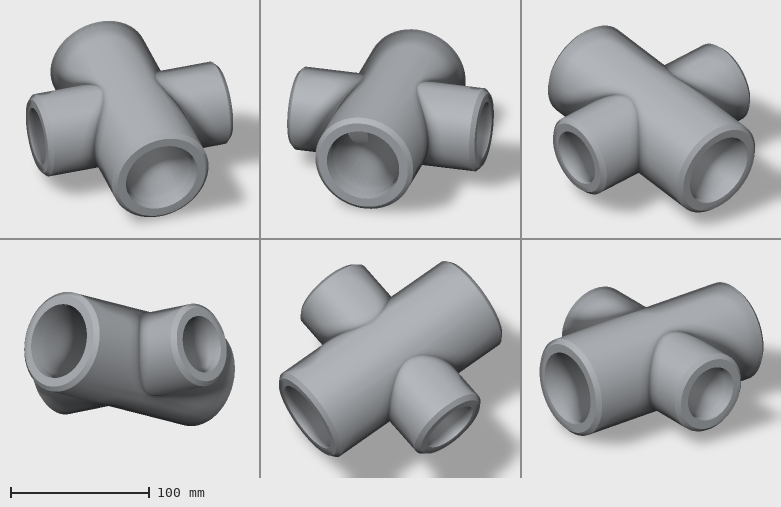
import cadquery as cq

run_length = 152.4
run_diameter = 73.025
branch_length = 139.7
branch_diameter = 60.325
wall_thickness = 9.525
end_chamfer = wall_thickness / 3


def centred_cylinder(workplane, diameter, length):
    """Solid cylinder centred on the origin, along the workplane normal."""
    return cq.Workplane(workplane).circle(diameter / 2).extrude(length / 2, both=True)


def pipe_body(workplane, diameter, length):
    """Solid pipe body with the outer edge of both ends chamfered."""
    return centred_cylinder(workplane, diameter, length).edges("%CIRCLE").chamfer(end_chamfer)


def pipe_bore(workplane, diameter, length):
    """Through bore that leaves the common wall thickness."""
    return centred_cylinder(workplane, diameter - 2 * wall_thickness, length)


run_body = pipe_body("YZ", run_diameter, run_length)
branch_body = pipe_body("XZ", branch_diameter, branch_length)
body = run_body.union(branch_body)

run_bore = pipe_bore("YZ", run_diameter, run_length)
branch_bore = pipe_bore("XZ", branch_diameter, branch_length)

result = body.cut(run_bore).cut(branch_bore)